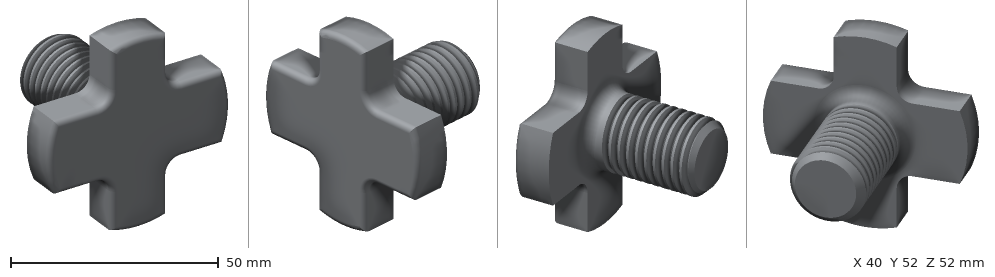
import cadquery as cq
import math


head_radius = 26.0
head_thickness = 10.0
y_arm_width = 19.95
z_arm_width = 16.0
inner_corner_radius = 4.0
rear_edge_radius = 1.6

shank_length = 30.0
shank_radius = 9.85
tip_chamfer = 2.05
neck_fillet_radius = 3.0

pitch = 2.5
groove_depth = 1.35
root_width = 0.25
flank_angle = 30.0
cutter_overlap = 0.4
thread_start = -1.65
full_depth_turns = 10 + 230 / 360
runout_turns = 90 / 360


def make_head():
    """Cross of two arms bounded by a circle, rounded around the rear face."""
    def arm(y_size, z_size):
        return cq.Workplane("YZ").rect(y_size, z_size).extrude(head_thickness)

    diameter = 2 * head_radius
    cross = arm(diameter, y_arm_width).union(arm(z_arm_width, diameter))
    inner_corners = cq.selectors.BoxSelector(
        (-0.5, -y_arm_width, -y_arm_width),
        (head_thickness + 0.5, y_arm_width, y_arm_width),
    )
    cross = cross.edges("|X").edges(inner_corners).fillet(inner_corner_radius)
    disc = cq.Workplane("YZ").circle(head_radius).extrude(head_thickness)
    head = cross.intersect(disc).faces(">X").edges().fillet(rear_edge_radius)
    return head.translate((shank_length, 0, 0))


def make_shank():
    """Turned shank with a chamfered tip and a fillet flaring into the head."""
    fillet_start = shank_length - neck_fillet_radius
    flare_radius = shank_radius + neck_fillet_radius
    arc_offset = neck_fillet_radius * math.sqrt(0.5)
    return (
        cq.Workplane("XZ")
        .lineTo(0, shank_radius - tip_chamfer)
        .lineTo(tip_chamfer, shank_radius)
        .lineTo(fillet_start, shank_radius)
        .threePointArc(
            (fillet_start + arc_offset, flare_radius - arc_offset),
            (shank_length, flare_radius),
        )
        .lineTo(shank_length, 0)
        .close()
        .revolve(360, (0, 0, 0), (1, 0, 0))
    )


def sweep_groove(turns, rise=0):
    """Sweep the groove section up +Z, moving outward by rise on the way."""
    length = turns * pitch
    if rise > 0:
        cone_angle = math.degrees(math.atan2(rise, length))
        slant = math.hypot(rise, length) / length
    else:
        cone_angle = 360
        slant = 1
    root_radius = shank_radius - groove_depth
    outer_radius = shank_radius + cutter_overlap
    root_half = root_width / 2
    outer_half = root_half + (outer_radius - root_radius) * math.tan(math.radians(flank_angle))
    path = cq.Wire.makeHelix(pitch * slant, length * slant, root_radius, angle=cone_angle)
    section = cq.Workplane("XZ").polyline([
        (root_radius, -root_half),
        (outer_radius, -outer_half),
        (outer_radius, outer_half),
        (root_radius, root_half),
    ]).close()
    return section.sweep(cq.Workplane(obj=path), isFrenet=True)


def along_shank(cutter):
    """Turn a cutter built along Z so that it runs along the shank."""
    return cutter.rotate((0, 0, 0), (0, 1, 0), 90).translate((thread_start, 0, 0))


def make_runout():
    """Last part of the groove, climbing out of the shank surface."""
    rise = groove_depth + cutter_overlap
    runout = sweep_groove(runout_turns, rise)
    runout = runout.rotate((0, 0, 0), (0, 0, 1), 360 * full_depth_turns)
    return runout.translate((0, 0, full_depth_turns * pitch))


shank = make_shank()
shank = shank.cut(along_shank(sweep_groove(full_depth_turns)))
shank = shank.cut(along_shank(make_runout()))

result = make_head().union(shank)